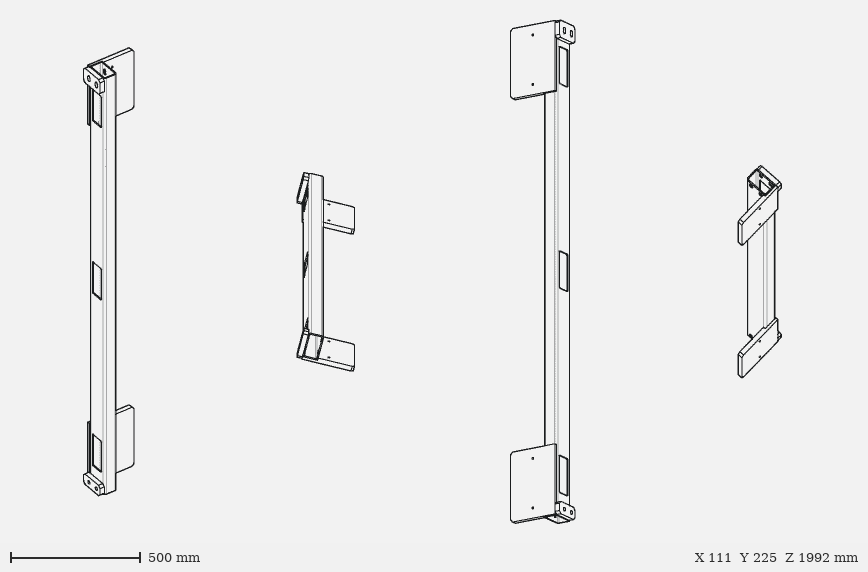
import cadquery as cq

overall_width = 111.0
post_height = 1992.0

tube_width = 100.0
tube_depth = 60.0
tube_wall = 5.0
tube_corner_radius = 10.0
tube_bore_radius = tube_corner_radius - tube_wall
tube_left = overall_width - tube_width
tube_middle = tube_left + tube_width / 2

window_width = 60.0
window_height = 150.0
window_corner_radius = 5.0
window_pitch = 825.0
window_left = tube_middle - window_width / 2

panel_thickness = 20.0
panel_depth = 205.0
panel_height = 283.0
panel_chamfer = 10.0
panel_hole_diameter = 7.0
panel_hole_pitch = 200.0

block_depth = 20.0
block_chamfer = 10.0
top_block_height = 70.0
bottom_block_height = 50.0

bolt_pitch = 50.0
bolt_hole_width = 14.0
top_slot_length = 25.0
bolt_xs = (tube_middle - bolt_pitch / 2, tube_middle + bolt_pitch / 2)
top_bolt_z = post_height - top_block_height / 2
bottom_bolt_z = bottom_block_height / 2


def box(x, y, z, width, depth, height):
    """Box with its lowest corner at (x, y, z)."""
    return cq.Workplane("XY").box(width, depth, height, centered=False).translate((x, y, z))


def bolt_cutters():
    """Upright slots at the top and round holes at the bottom, running front to back."""
    reach = block_depth + tube_depth
    front = cq.Workplane("XZ", origin=(0, -block_depth, 0))
    slots = (
        front.pushPoints([(x, top_bolt_z) for x in bolt_xs])
        .slot2D(top_slot_length, bolt_hole_width, 90)
        .extrude(-reach)
    )
    holes = (
        front.pushPoints([(x, bottom_bolt_z) for x in bolt_xs])
        .circle(bolt_hole_width / 2)
        .extrude(-reach)
    )
    return slots.add(holes).combine()


def make_tube():
    """Open-ended post with three front windows and the bolt holes."""
    outer = box(tube_left, 0, 0, tube_width, tube_depth, post_height)
    outer = outer.edges("|Z").fillet(tube_corner_radius)
    bore_width = tube_width - 2 * tube_wall
    bore_depth = tube_depth - 2 * tube_wall
    bore = box(tube_left + tube_wall, tube_wall, 0, bore_width, bore_depth, post_height)
    bore = bore.edges("|Z").fillet(tube_bore_radius)
    post = outer.cut(bore)
    for step in (-1, 0, 1):
        window_bottom = post_height / 2 + step * window_pitch - window_height / 2
        window = box(window_left, 0, window_bottom, window_width, tube_wall, window_height)
        post = post.cut(window.edges("|Y").fillet(window_corner_radius))
    return post.cut(bolt_cutters())


def make_panel(bottom):
    """Side panel with chamfered rear corners, two fixing holes and a rebate for the post."""
    panel = box(0, 0, bottom, panel_thickness, panel_depth, panel_height)
    panel = panel.edges(">Y and |X").chamfer(panel_chamfer)
    holes = (
        cq.Workplane("YZ", origin=(0, panel_depth / 2, bottom + panel_height / 2))
        .rarray(1, panel_hole_pitch, 1, 2)
        .circle(panel_hole_diameter / 2)
        .extrude(panel_thickness)
    )
    rebate = box(tube_left, 0, bottom, tube_width, tube_depth, panel_height)
    return panel.cut(holes).cut(rebate)


def make_block(bottom, height):
    """Front block with chamfered corners and the bolt holes."""
    block = box(0, -block_depth, bottom, overall_width, block_depth, height)
    return block.edges("|Y").chamfer(block_chamfer).cut(bolt_cutters())


tube = make_tube()
panels = [make_panel(bottom) for bottom in (0, post_height - panel_height)]
bottom_block = make_block(0, bottom_block_height)
top_block = make_block(post_height - top_block_height, top_block_height)

bodies = [tube, *panels, bottom_block, top_block]
result = cq.Compound.makeCompound([body.val() for body in bodies])